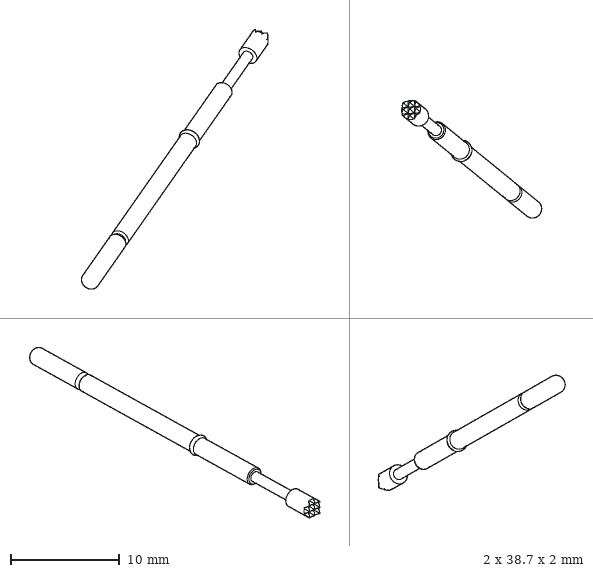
import cadquery as cq
import math

length = 38.7

head_diameter = 1.8
head_radius = head_diameter / 2
head_length = 3.0
tooth_pitch = 0.6
tooth_angle = 60
tooth_height = tooth_pitch / 2 / math.tan(math.radians(tooth_angle / 2))
grooves_each_way = 4

plunger_radius = 0.5

barrel_radius = 0.85
barrel_start = 8.3
mouth_chamfer = 0.1
tail_fillet = 0.45

ring_radius = 1.0
ring_start = 15.83
ring_width = 0.5

groove_start = 31.58
groove_width = 0.55
groove_crease = 0.2
groove_depth = 0.2


def cylinder(radius, start, end):
    """Cylinder on the Y axis between two stations measured from the crown tip."""
    return (
        cq.Workplane("XZ", origin=(0, length - start, 0))
        .circle(radius)
        .extrude(end - start)
    )


def tooth_groove(x):
    """V groove along Z that leaves tooth ridges half a pitch to either side of it."""
    half_width = tooth_pitch / 2
    return (
        cq.Workplane("XY")
        .moveTo(x - half_width, length)
        .lineTo(x, length - tooth_height)
        .lineTo(x + half_width, length)
        .close()
        .extrude(head_radius, both=True)
    )


def crown_head():
    head = cylinder(head_radius, 0, head_length)
    for index in range(grooves_each_way):
        groove = tooth_groove((index - (grooves_each_way - 1) / 2) * tooth_pitch)
        head = head.cut(groove)
        head = head.cut(groove.rotate((0, 0, 0), (0, 1, 0), 90))
    return head


def barrel():
    body = cylinder(barrel_radius, barrel_start, length)
    body = body.faces(">Y").chamfer(mouth_chamfer)
    return body.faces("<Y").fillet(tail_fillet)


def press_ring():
    """Band with a rounded crown, bulging from the barrel surface to the ring radius."""
    near = length - ring_start
    far = near - ring_width
    return (
        cq.Workplane("XY")
        .moveTo(0, near)
        .lineTo(barrel_radius, near)
        .threePointArc((ring_radius, (near + far) / 2), (barrel_radius, far))
        .lineTo(0, far)
        .close()
        .revolve(360, (0, 0, 0), (0, 1, 0))
    )


def crimp_groove():
    """Ring with a V-shaped inner side, to be cut from the barrel."""
    near = length - groove_start
    far = near - groove_width
    return (
        cq.Workplane("XY")
        .moveTo(ring_radius, near)
        .lineTo(barrel_radius, near)
        .lineTo(barrel_radius - groove_depth, near - groove_crease)
        .lineTo(barrel_radius, far)
        .lineTo(ring_radius, far)
        .close()
        .revolve(360, (0, 0, 0), (0, 1, 0))
    )


plunger = cylinder(plunger_radius, head_length, barrel_start)
result = crown_head().union(plunger).union(barrel()).union(press_ring()).cut(crimp_groove())